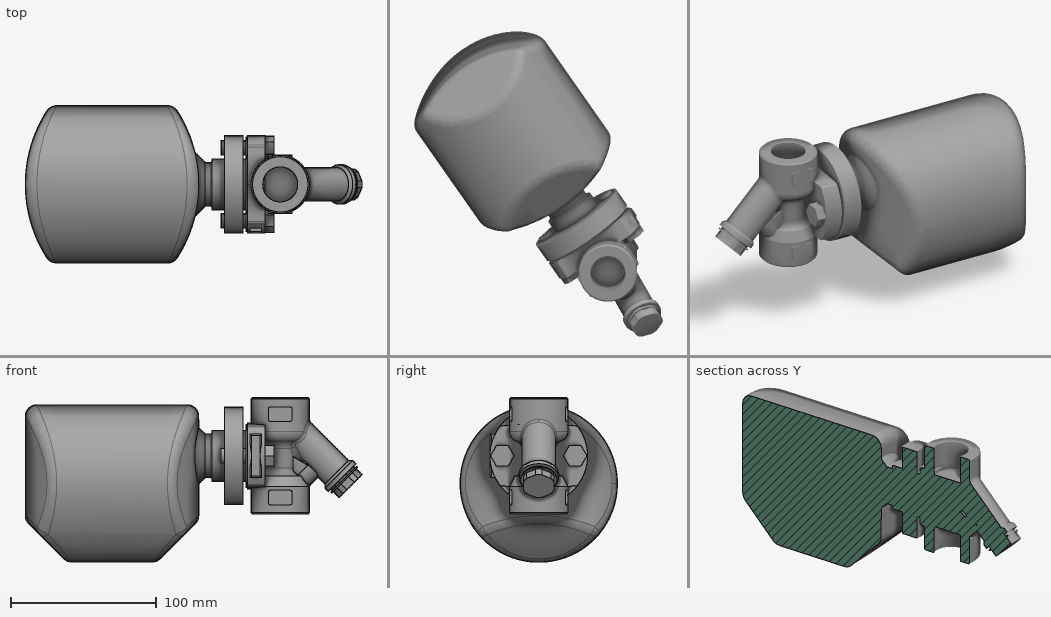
import cadquery as cq
import math

HOUSING_DIAMETER = 108.0
HOUSING_LENGTH = 119.0
HOUSING_END_RADIUS = 93.0
HOUSING_CHAMFER = 28.8
HOUSING_FILLET = 8.0

NECK_AXIS_Z = 19.0
NECK_DIAMETER = 30.0
NECK_START_X = 63.9
NECK_CONE_LENGTH = 8.0
NECK_FILLET = 1.0
HUB_DIAMETER = 35.0
HUB_START_X = 68.7
FLANGE_DIAMETER = 67.0
FLANGE_START_X = 77.0
FLANGE_THICKNESS = 13.0

GASKET_START_X = 92.0
GASKET_THICKNESS = 1.0
GASKET_INSET = 1.0
PLATE_THICKNESS = 12.0
PLATE_HALF_HEIGHT = 22.6
PLATE_SHOULDER_Y = 26.5
PLATE_SHOULDER_FILLET = 2.0
PLATE_PAD_WIDTH = 8.0
PLATE_PAD_SHIFT = 0.4
PLATE_PAD_HEIGHT = 29.8
PLATE_PAD_DEPTH = 5.0
PLATE_PAD_CHAMFER = 1.0

BOLT_DIAMETER = 10.0
BOLT_OFFSET_Y = 25.0
BOLT_TIP_LENGTH = 2.2
BOLT_HEAD_FLATS = 14.0
BOLT_HEAD_HEIGHT = 6.2

VALVE_X = 115.4
VALVE_HEIGHT = 80.0
PORT_DIAMETER = 40.0
PORT_CHAMFER = 1.0
UPPER_PORT_LENGTH = 23.4
LOWER_PORT_LENGTH = 19.0
UPPER_ROUND_HEIGHT = 6.5
WAIST_RADIUS = 11.5
UPPER_WAIST_LENGTH = 5.0
LOWER_WAIST_LENGTH = 8.4
LOWER_CONE_HEIGHT = 7.2
LOWER_CONE_TOP_RADIUS = 16.5
LOWER_WAIST_FILLET = 5.5
BORE_DIAMETER = 24.0
BORE_DEPTH = 20.0
PORT_PAD_WIDTH = 16.0
PORT_PAD_HEIGHT = 10.0
PORT_PAD_REACH = 20.0
PORT_PAD_OFFSET_Z = 28.6
PORT_PAD_RADIUS = 1.3

BRANCH_ANGLE = 45.0
BRANCH_START_Z = 46.5
BRANCH_DIAMETER = 23.0
BRANCH_FILLET = 3.0
COLLAR_DIAMETER = 27.0
WASHER_DIAMETER = 25.0
CAP_DIAMETER = 22.4
CAP_FLATS = 21.2
COLLAR_CONE_START = 54.8
COLLAR_START = 56.8
COLLAR_END = 60.0
WASHER_START = 61.6
WASHER_END = 62.6
BRANCH_END = 68.3

DUCT_DIAMETER = 16.0
DUCT_START_X = 124.0
DUCT_START_Z = -1.7
DUCT_LENGTH = 18.0
WEB_WIDTH = 15.0

HEXAGON_HALF_ANGLE = 30.0

VALVE_TOP = NECK_AXIS_Z + VALVE_HEIGHT / 2
VALVE_BOTTOM = NECK_AXIS_Z - VALVE_HEIGHT / 2
PLATE_START_X = GASKET_START_X + GASKET_THICKNESS
PLATE_END_X = PLATE_START_X + PLATE_THICKNESS
FLANGE_END_X = FLANGE_START_X + FLANGE_THICKNESS


def corner_width(across_flats):
    """Corner-to-corner width of a hexagon."""
    return across_flats / math.cos(math.radians(HEXAGON_HALF_ANGLE))


def make_housing():
    """Drum with bulged ends, both lower end corners cut off, all edges rounded."""
    radius = HOUSING_DIAMETER / 2
    half = HOUSING_LENGTH / 2
    edge_x = half - HOUSING_END_RADIUS + math.sqrt(HOUSING_END_RADIUS**2 - radius**2)
    drum = cq.Workplane("YZ").circle(radius).extrude(HOUSING_LENGTH).translate((-half, 0, 0))
    bulged = (
        cq.Workplane("XY")
        .moveTo(-edge_x, -radius)
        .lineTo(edge_x, -radius)
        .threePointArc((half, 0), (edge_x, radius))
        .lineTo(-edge_x, radius)
        .threePointArc((-half, 0), (-edge_x, -radius))
        .close()
        .extrude(HOUSING_DIAMETER)
        .translate((0, 0, -radius))
    )
    side = (
        cq.Workplane("XZ")
        .moveTo(-half, radius)
        .lineTo(half, radius)
        .lineTo(half, HOUSING_CHAMFER - radius)
        .lineTo(half - HOUSING_CHAMFER, -radius)
        .lineTo(HOUSING_CHAMFER - half, -radius)
        .lineTo(-half, HOUSING_CHAMFER - radius)
        .close()
        .extrude(radius, both=True)
    )
    housing = drum.intersect(bulged).intersect(side)
    return housing.edges("not #X").fillet(HOUSING_FILLET)


def x_cylinder(diameter, start_x, end_x, y=0.0):
    """Cylinder along X at the height of the neck axis."""
    return (
        cq.Workplane("YZ", origin=(start_x, y, NECK_AXIS_Z))
        .circle(diameter / 2)
        .extrude(end_x - start_x)
    )


def make_neck():
    """Cone on the housing, neck, hub and round flange."""
    neck_radius = NECK_DIAMETER / 2
    cone = (
        cq.Workplane("YZ", origin=(NECK_START_X - NECK_CONE_LENGTH, 0, NECK_AXIS_Z))
        .circle(neck_radius + NECK_CONE_LENGTH)
        .workplane(offset=NECK_CONE_LENGTH)
        .circle(neck_radius)
        .loft(ruled=True)
    )
    neck = x_cylinder(NECK_DIAMETER, NECK_START_X, HUB_START_X)
    hub = x_cylinder(HUB_DIAMETER, HUB_START_X, GASKET_START_X)
    step_point = (HUB_START_X, 0, NECK_AXIS_Z + (NECK_DIAMETER + HUB_DIAMETER) / 4)
    hub_step = cq.selectors.NearestToPointSelector(step_point)
    inner_corner = cq.selectors.RadiusNthSelector(0)
    stem = neck.union(hub).faces(hub_step).edges(inner_corner).fillet(NECK_FILLET)
    flange = x_cylinder(FLANGE_DIAMETER, FLANGE_START_X, FLANGE_END_X)
    return cone.union(stem).union(flange)


def plate_slab(start_x, thickness, inset=0.0):
    """Plate with edges sloping from a middle ridge to two round ends."""
    end_radius = FLANGE_DIAMETER / 2 - inset
    ridge_z = PLATE_HALF_HEIGHT - inset
    shoulder_y = PLATE_SHOULDER_Y - inset
    shoulder_z = math.sqrt(end_radius**2 - shoulder_y**2)
    slab = (
        cq.Workplane("YZ", origin=(start_x, 0, NECK_AXIS_Z))
        .moveTo(-shoulder_y, shoulder_z)
        .lineTo(0, ridge_z)
        .lineTo(shoulder_y, shoulder_z)
        .threePointArc((end_radius, 0), (shoulder_y, -shoulder_z))
        .lineTo(0, -ridge_z)
        .lineTo(-shoulder_y, -shoulder_z)
        .threePointArc((-end_radius, 0), (-shoulder_y, shoulder_z))
        .close()
        .extrude(thickness)
    )
    return slab.edges("|X").edges("<Y or >Y").fillet(PLATE_SHOULDER_FILLET)


def make_plate():
    """Gasket, valve plate and the raised pad on the plate's -Y end."""
    gasket = plate_slab(GASKET_START_X, GASKET_THICKNESS, GASKET_INSET)
    plate = plate_slab(PLATE_START_X, PLATE_THICKNESS)
    pad_y = PLATE_PAD_DEPTH / 2 - FLANGE_DIAMETER / 2
    pad_x = PLATE_START_X + PLATE_THICKNESS / 2 - PLATE_PAD_SHIFT
    pad = (
        cq.Workplane("XY")
        .box(PLATE_PAD_WIDTH, PLATE_PAD_DEPTH, PLATE_PAD_HEIGHT)
        .faces("<Y")
        .chamfer(PLATE_PAD_CHAMFER)
        .translate((pad_x, pad_y, NECK_AXIS_Z))
    )
    return gasket.union(plate).union(pad)


def make_bolt(y):
    """Shank through flange and plate with a hexagon head behind the plate."""
    shank = x_cylinder(BOLT_DIAMETER, FLANGE_START_X - BOLT_TIP_LENGTH, PLATE_END_X, y)
    head = (
        cq.Workplane("YZ", origin=(PLATE_END_X, y, NECK_AXIS_Z))
        .polygon(6, corner_width(BOLT_HEAD_FLATS))
        .extrude(BOLT_HEAD_HEIGHT)
    )
    return shank.union(head)


def make_valve_body():
    """Two ports joined by a narrower waist, turned about the valve axis."""
    port_radius = PORT_DIAMETER / 2
    rim_radius = port_radius - PORT_CHAMFER
    upper_end = VALVE_TOP - UPPER_PORT_LENGTH
    lower_end = VALVE_BOTTOM + LOWER_PORT_LENGTH
    waist_top = NECK_AXIS_Z + UPPER_WAIST_LENGTH
    waist_bottom = NECK_AXIS_Z - LOWER_WAIST_LENGTH
    curve_share = UPPER_ROUND_HEIGHT / (upper_end - waist_top)
    curve_middle = (
        port_radius - curve_share * (port_radius - WAIST_RADIUS),
        upper_end - UPPER_ROUND_HEIGHT,
    )
    return (
        cq.Workplane("XZ")
        .moveTo(0, VALVE_BOTTOM)
        .lineTo(rim_radius, VALVE_BOTTOM)
        .lineTo(port_radius, VALVE_BOTTOM + PORT_CHAMFER)
        .lineTo(port_radius, lower_end)
        .lineTo(LOWER_CONE_TOP_RADIUS, lower_end + LOWER_CONE_HEIGHT)
        .radiusArc((WAIST_RADIUS, waist_bottom), LOWER_WAIST_FILLET)
        .lineTo(WAIST_RADIUS, waist_top)
        .tangentArcPoint(curve_middle, relative=False)
        .tangentArcPoint((port_radius, upper_end), relative=False)
        .lineTo(port_radius, VALVE_TOP - PORT_CHAMFER)
        .lineTo(rim_radius, VALVE_TOP)
        .lineTo(0, VALVE_TOP)
        .close()
        .revolve(360, (0, 0, 0), (0, 1, 0))
        .translate((VALVE_X, 0, 0))
    )


def make_port_pads():
    """Rounded rectangular pads on both sides of each port."""
    pads = cq.Workplane("XY")
    for side in (-1, 1):
        pad_z = NECK_AXIS_Z + side * PORT_PAD_OFFSET_Z
        pad = (
            cq.Workplane("XZ", origin=(VALVE_X, 0, pad_z))
            .rect(PORT_PAD_WIDTH, PORT_PAD_HEIGHT)
            .extrude(PORT_PAD_REACH, both=True)
            .edges("|Y")
            .fillet(PORT_PAD_RADIUS)
        )
        pads = pads.union(pad)
    return pads


def branch_plane():
    """Plane whose normal runs along the branch axis, local X along Y."""
    slope = math.radians(BRANCH_ANGLE)
    return cq.Plane(
        origin=(VALVE_X, 0, BRANCH_START_Z),
        xDir=(0, 1, 0),
        normal=(math.cos(slope), 0, -math.sin(slope)),
    )


def branch_disc(diameter, start, end):
    """Cylinder on the branch axis between two stations."""
    base = cq.Workplane(branch_plane()).workplane(offset=start)
    return base.circle(diameter / 2).extrude(end - start)


def make_branch_end():
    """Conical collar, groove, washer and rounded hexagon cap."""
    cone = (
        cq.Workplane(branch_plane())
        .workplane(offset=COLLAR_CONE_START)
        .circle(BRANCH_DIAMETER / 2)
        .workplane(offset=COLLAR_START - COLLAR_CONE_START)
        .circle(COLLAR_DIAMETER / 2)
        .loft(ruled=True)
    )
    collar = branch_disc(COLLAR_DIAMETER, COLLAR_START, COLLAR_END)
    washer = branch_disc(WASHER_DIAMETER, WASHER_START, WASHER_END)
    groove_and_cap = branch_disc(CAP_DIAMETER, COLLAR_END, BRANCH_END)
    hexagon_limit = (
        cq.Workplane(branch_plane())
        .workplane(offset=COLLAR_END)
        .transformed(rotate=(0, 0, HEXAGON_HALF_ANGLE))
        .polygon(6, corner_width(CAP_FLATS))
        .extrude(BRANCH_END - COLLAR_END)
    )
    return cone.union(collar).union(washer).union(groove_and_cap.intersect(hexagon_limit))


def make_duct():
    """Round duct rising from the lower port into the branch tube."""
    slope = math.radians(BRANCH_ANGLE)
    axis = cq.Plane(
        origin=(DUCT_START_X, 0, DUCT_START_Z),
        xDir=(0, 1, 0),
        normal=(math.sin(slope), 0, math.cos(slope)),
    )
    return cq.Workplane(axis).circle(DUCT_DIAMETER / 2).extrude(DUCT_LENGTH)


def make_web():
    """Flat web closing the gap between waist, duct and branch tube."""
    duct_reach = DUCT_LENGTH * math.sin(math.radians(BRANCH_ANGLE))
    return (
        cq.Workplane("XZ")
        .moveTo(VALVE_X, NECK_AXIS_Z + UPPER_WAIST_LENGTH)
        .lineTo(VALVE_X, DUCT_START_Z)
        .lineTo(DUCT_START_X, DUCT_START_Z)
        .lineTo(DUCT_START_X + duct_reach, DUCT_START_Z + duct_reach)
        .close()
        .extrude(WEB_WIDTH / 2, both=True)
    )


def make_bores():
    """Blind port bores, one from each end of the valve body."""
    bore = cq.Workplane("XY").circle(BORE_DIAMETER / 2).extrude(BORE_DEPTH)
    upper = bore.translate((VALVE_X, 0, VALVE_TOP - BORE_DEPTH))
    lower = bore.translate((VALVE_X, 0, VALVE_BOTTOM))
    return upper.union(lower)


def make_valve():
    """Valve body with its branch, duct, pads and bores."""
    tube = branch_disc(BRANCH_DIAMETER, 0, COLLAR_CONE_START)
    tee = make_valve_body().union(tube)
    junction = [edge for edge in tee.edges().vals() if edge.geomType() not in ("LINE", "CIRCLE")]
    return (
        tee.newObject(junction)
        .fillet(BRANCH_FILLET)
        .union(make_web())
        .union(make_duct())
        .union(make_port_pads())
        .union(make_branch_end())
        .cut(make_bores())
    )


result = make_housing().union(make_neck()).union(make_plate())
for bolt_side in (-1, 1):
    result = result.union(make_bolt(bolt_side * BOLT_OFFSET_Y))
result = result.union(make_valve())